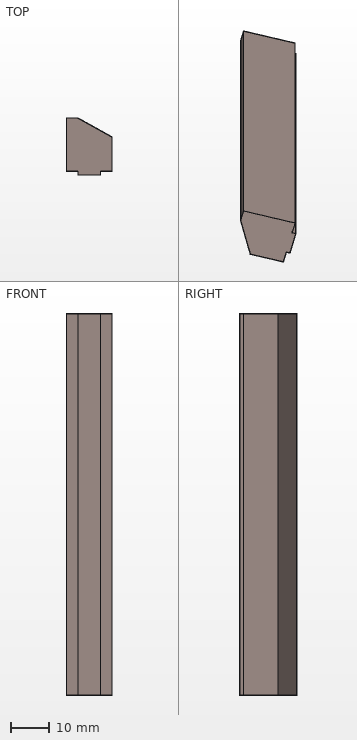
import cadquery as cq

width = 12.0
depth = 15.0
length = 100.0

tongue_width = 6.0
tongue_height = 1.0

land_width = 3.0
slope_drop = 5.0

body_depth = depth - tongue_height


def make_body():
    """Prism with a sloped back; its front face lies on Y = 0."""
    left = -width / 2
    right = width / 2
    return (
        cq.Workplane("XY")
        .moveTo(left, 0)
        .lineTo(right, 0)
        .lineTo(right, body_depth - slope_drop)
        .lineTo(left + land_width, body_depth)
        .lineTo(left, body_depth)
        .close()
        .extrude(length)
    )


def make_tongue():
    """Full-length rectangular tongue standing out from the front face."""
    tongue = cq.Workplane("XY").box(
        tongue_width, tongue_height, length, centered=(True, False, False)
    )
    return tongue.translate((0, -tongue_height, 0))


result = make_body().union(make_tongue())